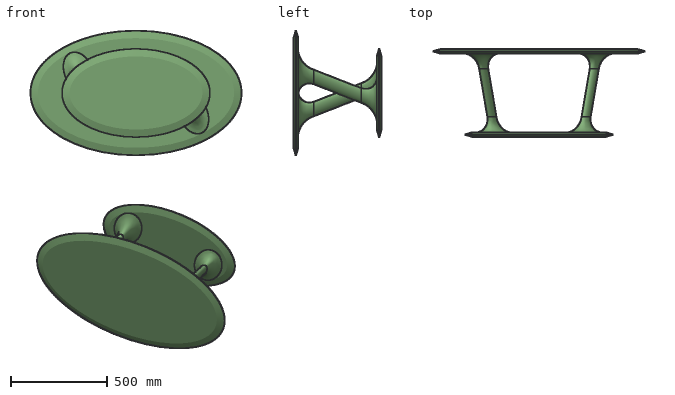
import cadquery as cq
import math

TOTAL_HEIGHT = 460.0
PLATE_THICKNESS = 26.0
RIM_THICKNESS = 3.0
BEVEL_WIDTH = 40.0
TOP_LENGTH = 1100.0
TOP_WIDTH = 650.0
FOOT_LENGTH = 770.0
FOOT_WIDTH = 460.0

LEG_LONG_RADIUS = 41.0
LEG_SHORT_RADIUS = 20.0
LEG_HEIGHT = 250.0
LEG_MIDDLE_X = -266.0
LEG_MIDDLE_Z = 35.0
LEG_LEAN_ANGLE = 23.5
LEG_LEAN = 107.0

FLARE_LONG_RADIUS = 110.0
FLARE_SHORT_RADIUS = 74.0
FLARE_END_ANGLE = 77.0
FLARE_LEAN = 25.0
FLARE_STEPS = 6

PLATE_CENTRE_Y = (TOTAL_HEIGHT - PLATE_THICKNESS) / 2
FLARE_HEIGHT = TOTAL_HEIGHT / 2 - PLATE_THICKNESS - LEG_HEIGHT / 2

ACROSS = cq.Vector(0, 1, 0)
LEAN_DIRECTION = cq.Vector(
    -math.sin(math.radians(LEG_LEAN_ANGLE)), 0, math.cos(math.radians(LEG_LEAN_ANGLE))
)
LEG_MIDDLE = cq.Vector(LEG_MIDDLE_X, 0, LEG_MIDDLE_Z)


def ellipse_wire(centre, long_radius, short_radius, long_direction):
    """An ellipse in a plane of constant Y."""
    return cq.Wire.makeEllipse(long_radius, short_radius, centre, ACROSS, long_direction)


def make_plate(length, width, centre_y):
    """An elliptical plate with a bevel on each face and a thin flat rim between them."""
    half_thickness = PLATE_THICKNESS / 2
    half_rim = RIM_THICKNESS / 2
    levels = (
        (-half_thickness, BEVEL_WIDTH),
        (-half_rim, 0),
        (half_rim, 0),
        (half_thickness, BEVEL_WIDTH),
    )
    sections = []
    for offset, inset in levels:
        centre = cq.Vector(0, centre_y + offset, 0)
        sections.append(
            ellipse_wire(centre, length / 2 - inset, width / 2 - inset, cq.Vector(1, 0, 0))
        )
    return cq.Solid.makeLoft(sections, True)


def leg_section(centre_y, lean, long_radius, short_radius):
    """A cross-section of the first leg or its flares, moved by lean along the lean direction."""
    centre = LEG_MIDDLE + LEAN_DIRECTION * lean + ACROSS * centre_y
    return ellipse_wire(centre, long_radius, short_radius, LEAN_DIRECTION)


def make_leg():
    """The first leg, at -X."""
    ends = [
        leg_section(end * LEG_HEIGHT / 2, end * LEG_LEAN / 2, LEG_LONG_RADIUS, LEG_SHORT_RADIUS)
        for end in (-1, 1)
    ]
    return cq.Solid.makeLoft(ends, True)


def make_flare(end):
    """A flare of the first leg: end is 1 at the table top and -1 at the foot."""
    end_angle = math.radians(FLARE_END_ANGLE)
    sections = []
    for step in range(FLARE_STEPS + 1):
        angle = end_angle * step / FLARE_STEPS
        rise = math.sin(angle) / math.sin(end_angle)
        growth = (1 - math.cos(angle)) / (1 - math.cos(end_angle))
        height = LEG_HEIGHT / 2 + FLARE_HEIGHT * rise
        lean = LEG_LEAN / 2 + FLARE_LEAN * rise
        long_radius = LEG_LONG_RADIUS + (FLARE_LONG_RADIUS - LEG_LONG_RADIUS) * growth
        short_radius = LEG_SHORT_RADIUS + (FLARE_SHORT_RADIUS - LEG_SHORT_RADIUS) * growth
        sections.append(leg_section(end * height, end * lean, long_radius, short_radius))
    return cq.Solid.makeLoft(sections)


table_top = make_plate(TOP_LENGTH, TOP_WIDTH, PLATE_CENTRE_Y)
foot = make_plate(FOOT_LENGTH, FOOT_WIDTH, -PLATE_CENTRE_Y)

legs = []
flares = []
for turn in (0, 180):
    legs.append(make_leg().rotate(cq.Vector(0, 0, 0), ACROSS, turn))
    for end in (-1, 1):
        flares.append(make_flare(end).rotate(cq.Vector(0, 0, 0), ACROSS, turn))

result = cq.Compound.makeCompound([table_top, foot, *legs, *flares])